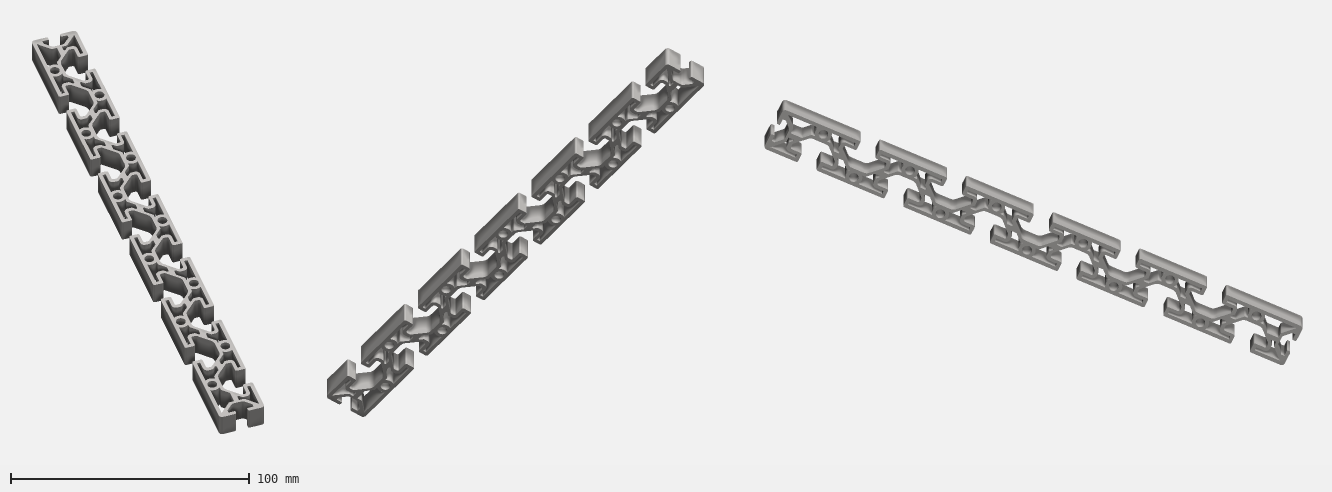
import cadquery as cq
import math


length = 240.0
pitch = length / 12
width = pitch
half_width = width / 2
thickness = width / 2
channel_count = 11

skin = 1.7
lip = 1.5
corner_radius = 1.5
edge_radius = 0.7
flare = 2 * edge_radius
inner_radius = 0.7
notch_radius = 0.5
bend_radius = 2.0

mouth_half = 4.3
lip_depth = 4.5
hook_half = 9.8
floor_level = -2.6
floor_corner = 4.0
floor_radius = 3.0
floor_plate = 1.5
rib_offset = 1.7
bar_half = 1.08

hole_diameter = 4.0
hole_depth = 3.5
ring_radius = 3.5

end_mouth_half = 2.6
end_slot_half = 5.5
end_floor = 6.2
end_diagonal = 8.6
end_wall = 1.2
end_diagonal_wall = 2.2
end_radius = 1.5

skin_level = half_width - skin
hole_level = hole_depth - half_width
lip_outer = half_width - lip_depth
lip_inner = lip_outer + lip
hook_inner = hook_half + skin
rib_start = floor_corner - floor_level
rib_under = rib_start + rib_offset
cavity_end = pitch - mouth_half - skin

end_inner = pitch - end_floor - end_wall
end_inner_diagonal = end_diagonal + end_diagonal_wall
end_skin = pitch - end_inner_diagonal + skin_level
end_knee = end_inner_diagonal - end_floor - end_wall


def rounded_prism(corners):
    """Prism over a closed outline of (x, y, radius) corners; a radius of 0 stays sharp."""
    arcs = []
    for i, (x, y, radius) in enumerate(corners):
        before = cq.Vector(*corners[i - 1][:2])
        after = cq.Vector(*corners[(i + 1) % len(corners)][:2])
        corner = cq.Vector(x, y)
        to_before = (before - corner).normalized()
        to_after = (after - corner).normalized()
        half_angle = to_before.getAngle(to_after) / 2
        setback = radius / math.tan(half_angle)
        bisector = (to_before + to_after).normalized()
        middle = corner + bisector * (radius / math.sin(half_angle) - radius)
        arcs.append((corner + to_before * setback, middle, corner + to_after * setback, radius))

    outline = cq.Workplane("XY").workplane(offset=-thickness / 2).moveTo(*arcs[0][2].toTuple()[:2])
    for start, middle, end, radius in arcs[1:] + arcs[:1]:
        outline = outline.lineTo(*start.toTuple()[:2])
        if radius > 0:
            outline = outline.threePointArc(middle.toTuple()[:2], end.toTuple()[:2])
    return outline.close().extrude(thickness)


def cylinder(radius, y):
    """Cylinder through the full thickness, centred on X = 0."""
    return cq.Workplane("XY").center(0, y).circle(radius).extrude(thickness / 2, both=True)


def mirrored_outline(corners):
    """Corners of the +X half, followed by their mirror images."""
    return corners + [(-x, y, radius) for x, y, radius in reversed(corners)]


def slot():
    """T-slot that opens to +Y; its mouth is widened by rounded lip edges."""
    return rounded_prism(mirrored_outline([
        (floor_corner, floor_level, floor_radius),
        (hook_half, hook_half - rib_start, inner_radius),
        (hook_half, lip_outer, inner_radius),
        (mouth_half, lip_outer, edge_radius),
        (mouth_half, half_width, edge_radius),
        (mouth_half + flare, half_width, 0),
        (mouth_half + flare, half_width + skin, 0),
    ]))


hook_corners = [
    (pitch - rib_under - bar_half, -bar_half, notch_radius),
    (pitch - hook_inner, rib_under - hook_inner, inner_radius),
    (pitch - hook_inner, -lip_inner, bend_radius),
    (cavity_end, -lip_inner, 0),
    (cavity_end, -skin_level, 0),
]

rib_corners = [
    (0, floor_level - floor_plate, 0),
    (rib_under + floor_level - floor_plate, floor_level - floor_plate, inner_radius),
    (rib_under - bar_half, -bar_half, notch_radius),
]

end_corners = [
    (end_inner, -bar_half, 0),
    (end_inner, -end_knee, inner_radius),
    (end_skin, -skin_level, 0),
]


def channel_cavity(far_corners):
    """Cavity on the +X side of a screw channel, closed off by the given far corners."""
    outline = rib_corners + far_corners + [(0, -skin_level, 0)]
    return rounded_prism(outline).cut(cylinder(ring_radius, hole_level))


def end_lip_cavity():
    """Cavity behind the outermost lip; the screw channel would lie on the -X side."""
    end_lip = [(pitch - x, -y, radius) for x, y, radius in hook_corners]
    end_web = [(x, -y, radius) for x, y, radius in reversed(end_corners)]
    return rounded_prism(end_lip + end_web)


def end_slot():
    """Slot that opens to +X, with the end face at one pitch."""
    lip_face = pitch - skin
    floor = pitch - end_floor
    half = [
        (pitch + skin, end_mouth_half + flare, 0),
        (pitch, end_mouth_half + flare, 0),
        (pitch, end_mouth_half, edge_radius),
        (lip_face, end_mouth_half, 0),
        (lip_face, end_slot_half, 0),
        (pitch - end_diagonal + end_slot_half, end_slot_half, 0),
        (floor, end_diagonal - end_floor, end_radius),
    ]
    return rounded_prism(half + [(x, -y, radius) for x, y, radius in reversed(half)])


body = cq.Workplane("XY").box(length, width, thickness).edges("|Z").fillet(corner_radius)

right_cavity = channel_cavity(hook_corners)
left_cavity = right_cavity.mirror("YZ")
channel = slot().union(cylinder(hole_diameter / 2, hole_level))

for i in range(1, channel_count + 1):
    cutters = [channel]
    if i > 1:
        cutters.append(left_cavity)
    if i < channel_count:
        cutters.append(right_cavity)
    for cutter in cutters:
        placed = cutter if i % 2 == 1 else cutter.mirror("XZ")
        body = body.cut(placed.translate((i * pitch - length / 2, 0, 0)))

for cutter in (channel_cavity(end_corners), end_lip_cavity(), end_slot()):
    right_end = cutter.translate((length / 2 - pitch, 0, 0))
    body = body.cut(right_end).cut(right_end.mirror("YZ"))

result = body